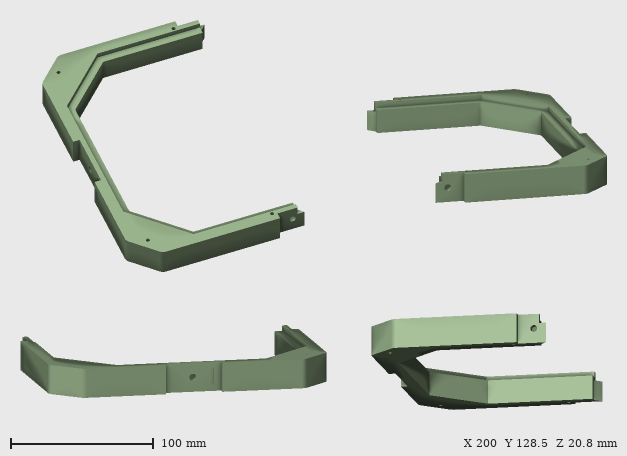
import cadquery as cq

width = 200.0
height = 20.8
arm_length = 123.5
half_width = width / 2

corner_cut = 20.0
corner_radius = 5.5

wall = 13.8
inner_cut = 34.8

ledge_setback = 8.5
ledge_cut = 38.0
ledge_height = 16.8

arm_relief = 4.8
arm_relief_start = 108.5
tip_length = 5.0
tip_height = 14.2

notch_width = 40.8
notch_depth = 4.8

pin_diameter = 4.8
pin_depth = 4.8
pin_z = height / 2
arm_pin_y = 119.8
screw_diameter = 2.8
arm_screw = (94.0, 104.8)
corner_screw = (85.2, 14.5)

arrow_x = 14.5
arrow_top = 16.5
arrow_shoulder = 6.0
arrow_tip = 3.5
arrow_shaft_half = 0.8
arrow_head_half = 1.8
arrow_depth = 0.5


def make_outer_block():
    cut_x = half_width - corner_cut
    block = (
        cq.Workplane("XY")
        .polyline([
            (-half_width, arm_length),
            (-half_width, corner_cut),
            (-cut_x, 0),
            (cut_x, 0),
            (half_width, corner_cut),
            (half_width, arm_length),
        ])
        .close()
        .extrude(height)
    )
    return block.edges("|Z and (not >Y)").fillet(corner_radius)


def make_opening(setback, cut, bottom):
    """Space inside the U, open at the back, from the given Z up to the top face."""
    side = half_width - setback
    return (
        cq.Workplane("XY", origin=(0, 0, bottom))
        .polyline([
            (-side, arm_length),
            (-side, setback + cut),
            (-side + cut, setback),
            (side - cut, setback),
            (side, setback + cut),
            (side, arm_length),
        ])
        .close()
        .extrude(height - bottom)
    )


def make_arm_relief(side):
    relief_length = arm_length - arm_relief_start
    return (
        cq.Workplane("XY")
        .center(side * (half_width - arm_relief / 2), arm_relief_start + relief_length / 2)
        .rect(arm_relief, relief_length)
        .extrude(height)
    )


def make_arm_tip(side):
    outer_x = half_width - arm_relief
    return (
        cq.Workplane("XY")
        .polyline([
            (side * outer_x, arm_length),
            (side * outer_x, arm_length + tip_length),
            (side * (outer_x - tip_length), arm_length),
        ])
        .close()
        .extrude(tip_height)
    )


def make_arm_pin_hole(side):
    """Blind hole bored inward from the relieved outer face of an arm."""
    start = cq.Vector(side * (half_width - arm_relief), arm_pin_y, pin_z)
    return cq.Workplane(
        cq.Solid.makeCylinder(pin_diameter / 2, pin_depth, start, cq.Vector(-side, 0, 0))
    )


def make_front_pin_hole():
    start = cq.Vector(0, notch_depth, pin_z)
    return cq.Workplane(
        cq.Solid.makeCylinder(pin_diameter / 2, pin_depth, start, cq.Vector(0, 1, 0))
    )


def make_screw_holes(side):
    points = [(side * x, y) for x, y in (arm_screw, corner_screw)]
    return cq.Workplane("XY").pushPoints(points).circle(screw_diameter / 2).extrude(height)


def make_notch():
    return cq.Workplane("XY").center(0, notch_depth / 2).rect(notch_width, notch_depth).extrude(height)


def make_arrow():
    return (
        cq.Workplane("XZ", origin=(arrow_x, notch_depth, 0))
        .polyline([
            (-arrow_shaft_half, arrow_top),
            (arrow_shaft_half, arrow_top),
            (arrow_shaft_half, arrow_shoulder),
            (arrow_head_half, arrow_shoulder),
            (0, arrow_tip),
            (-arrow_head_half, arrow_shoulder),
            (-arrow_shaft_half, arrow_shoulder),
        ])
        .close()
        .extrude(-arrow_depth)
    )


frame = make_outer_block()
frame = frame.cut(make_opening(wall, inner_cut, 0))
frame = frame.cut(make_opening(ledge_setback, ledge_cut, ledge_height))
frame = frame.cut(make_notch())
frame = frame.cut(make_front_pin_hole())
frame = frame.cut(make_arrow())

for side in (-1, 1):
    frame = frame.cut(make_arm_relief(side))
    frame = frame.union(make_arm_tip(side))
    frame = frame.cut(make_arm_pin_hole(side))
    frame = frame.cut(make_screw_holes(side))

result = frame